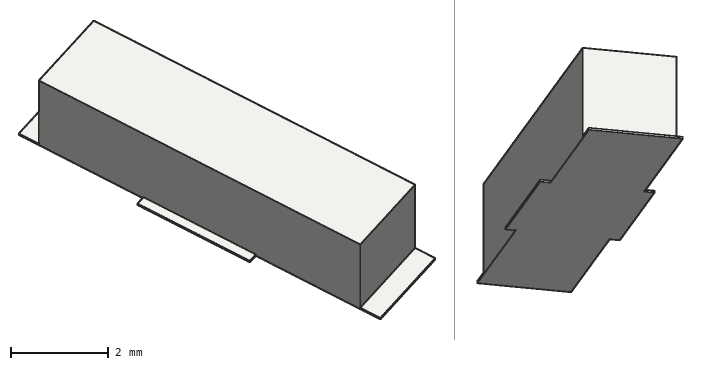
import cadquery as cq

overall_length = 9.0
overall_width = 2.43
height = 2.0

body_length = 8.0
body_width = 2.0

terminal_thickness = 0.045
end_terminal_width = body_width
side_terminal_length = 2.8


def block(length, width, thickness):
    """Box centred on the Z axis and standing on the base plane."""
    return cq.Workplane("XY").box(length, width, thickness, centered=(True, True, False))


body = block(body_length, body_width, height)

end_terminals = block(overall_length, end_terminal_width, terminal_thickness)
side_terminals = block(side_terminal_length, overall_width, terminal_thickness)

result = body.union(end_terminals).union(side_terminals)